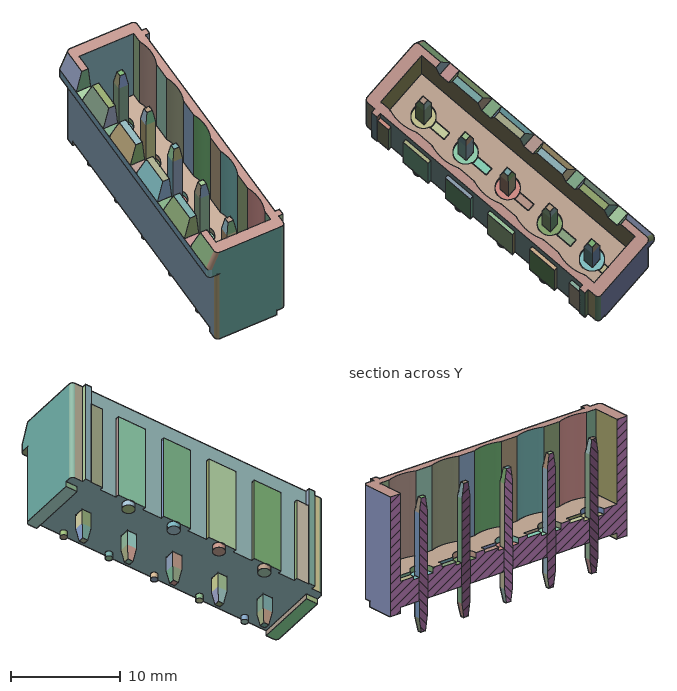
import cadquery as cq
import math


ways = 5
pitch = 5.08
pin_places = [(way - (ways - 1) / 2) * pitch for way in range(ways)]
between_places = [(left + right) / 2 for left, right in zip(pin_places, pin_places[1:])]

length = 28.2
height = 12.0
front_y = -3.55
back_y = 3.67
corner_radius = 0.4
underside_z = 0.6

lip_front_y = -4.37
lip_slope_height = 1.97
lip_height = 3.0
lip_shoulder_z = height - lip_slope_height
lip_bottom_z = height - lip_height

end_wall = 1.25
cavity_length = length - 2 * end_wall
cavity_front_y = -2.88
cavity_back_y = 2.82
cavity_floor_z = 3.52
scallop_width = 3.21
scallop_depth = 0.3

notch_top_width = 1.97
notch_bottom_width = 1.1

pin_recess_diameter = 2.3
pin_recess_depth = 0.55
floor_slot_width = 0.8
floor_slot_reach = 2.82
floor_slot_depth = 0.28

end_rib_width = 0.68
end_rib_back_y = 4.12
pad_width = 3.02
pad_back_y = 4.03
pad_top_z = lip_shoulder_z
end_pad_inner_x = 10.89

foot_width = end_wall
foot_back_y = 2.8
back_post_diameter = 1.2
back_post_y = end_rib_back_y - back_post_diameter / 2
front_post_diameter = 0.7
front_post_y = -3.1

pin_width = 1.02
pin_tip_width = 0.55
pin_taper = 1.47
pin_bottom_z = -2.6
pin_top_z = 10.85


def block(x_min, x_max, y_min, y_max, z_min, z_max):
    """Rectangular block given by its limits."""
    size = (x_max - x_min, y_max - y_min, z_max - z_min)
    return cq.Workplane("XY").box(*size, centered=False).translate((x_min, y_min, z_min))


def post(x, y, diameter):
    """Round post reaching from the underside down to the seating plane."""
    return cq.Workplane("XY").center(x, y).circle(diameter / 2).extrude(underside_z)


def make_shell():
    """Solid outer block with the sloped lip and rounded corners."""
    profile = [
        (back_y, 0),
        (back_y, height),
        (front_y, height),
        (lip_front_y, lip_shoulder_z),
        (lip_front_y, lip_bottom_z),
        (front_y, lip_bottom_z),
        (front_y, 0),
    ]
    shell = cq.Workplane("YZ").polyline(profile).close().extrude(length / 2, both=True)
    front_slope = cq.Vector(0, lip_front_y - front_y, -lip_slope_height)
    corners = shell.edges(cq.selectors.ParallelDirSelector(cq.Vector(0, 0, 1)))
    corners = corners.add(shell.edges(cq.selectors.ParallelDirSelector(front_slope)))
    return corners.fillet(corner_radius)


def make_cavity():
    """Space for the plug, its back wall hollowed by a shallow arc at each way."""
    half = cavity_length / 2
    outline = cq.Workplane("XY").workplane(offset=cavity_floor_z)
    outline = outline.moveTo(-half, cavity_front_y).lineTo(-half, cavity_back_y)
    for x in pin_places:
        outline = outline.lineTo(x - scallop_width / 2, cavity_back_y)
        outline = outline.threePointArc(
            (x, cavity_back_y + scallop_depth),
            (x + scallop_width / 2, cavity_back_y),
        )
    outline = outline.lineTo(half, cavity_back_y).lineTo(half, cavity_front_y).close()
    return outline.extrude(height - cavity_floor_z)


def make_notch(x):
    """Tapered notch through the front wall, down to the shoulder of the lip."""
    profile = [
        (x - notch_bottom_width / 2, lip_shoulder_z),
        (x + notch_bottom_width / 2, lip_shoulder_z),
        (x + notch_top_width / 2, height),
        (x - notch_top_width / 2, height),
    ]
    notch = cq.Workplane("XZ", origin=(0, cavity_front_y, 0)).polyline(profile).close()
    return notch.extrude(cavity_front_y - lip_front_y)


def make_floor_recess(x):
    """Round recess about a pin, with a shallower slot on its -X side."""
    recess = cq.Workplane("XY").workplane(offset=cavity_floor_z).center(x, 0)
    recess = recess.circle(pin_recess_diameter / 2).extrude(-pin_recess_depth)
    slot_start = max(x - floor_slot_reach, -cavity_length / 2)
    slot = block(
        slot_start, x,
        -floor_slot_width / 2, floor_slot_width / 2,
        cavity_floor_z - floor_slot_depth, cavity_floor_z,
    )
    return recess.union(slot)


def clear_underside(shell):
    """Raise the underside between the end feet and behind them."""
    foot_inner_x = length / 2 - foot_width
    between_feet = block(-foot_inner_x, foot_inner_x, front_y, back_y, 0, underside_z)
    behind_feet = block(-length / 2, length / 2, foot_back_y, back_y, 0, underside_z)
    return shell.cut(between_feet).cut(behind_feet)


def add_back_ribs(shell):
    """Full-height end ribs and the lower pads on the back face."""
    rib_outer_x = cavity_length / 2
    rib_inner_x = rib_outer_x - end_rib_width
    for x_min, x_max in [(-rib_outer_x, -rib_inner_x), (rib_inner_x, rib_outer_x)]:
        shell = shell.union(block(x_min, x_max, back_y, end_rib_back_y, underside_z, height))
    pads = [(x - pad_width / 2, x + pad_width / 2) for x in between_places]
    pads.append((-rib_inner_x, -end_pad_inner_x))
    pads.append((end_pad_inner_x, rib_inner_x))
    for x_min, x_max in pads:
        shell = shell.union(block(x_min, x_max, back_y, pad_back_y, underside_z, pad_top_z))
    return shell


def make_pin(x):
    """Square contact pin, tapered at both ends."""
    shank_bottom_z = pin_bottom_z + pin_taper
    shank_top_z = pin_top_z - pin_taper
    half = pin_width / 2
    taper_angle = math.degrees(math.atan((pin_width - pin_tip_width) / 2 / pin_taper))
    pin = block(x - half, x + half, -half, half, shank_bottom_z, shank_top_z)
    pin = pin.faces(">Z").wires().toPending().extrude(pin_taper, taper=taper_angle)
    return pin.faces("<Z").wires().toPending().workplane().extrude(pin_taper, taper=taper_angle)


def make_housing(pins):
    """Complete housing, with a matching hole for every pin."""
    housing = clear_underside(make_shell())
    housing = add_back_ribs(housing).cut(make_cavity())
    for x in pin_places:
        housing = housing.cut(make_notch(x)).cut(make_floor_recess(x))
        housing = housing.union(post(x, front_post_y, front_post_diameter))
    for x in between_places:
        housing = housing.union(post(x, back_post_y, back_post_diameter))
    for pin in pins:
        housing = housing.cut(pin)
    return housing


pins = [make_pin(x) for x in pin_places]
housing = make_housing(pins)

result = cq.Compound.makeCompound([housing.val(), *[pin.val() for pin in pins]])